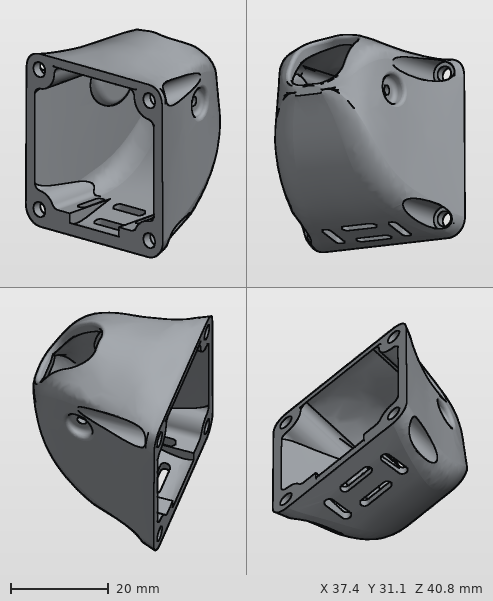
import cadquery as cq
import math

face_width = 37.4
face_height = 37.25
depth = 31.12

screw_x = 15.0
screw_z = (3.67, 33.77)
screw_dia = 3.2
head_groove_dia = 5.0
flange_thickness = 2.12
screw_boss_dia = 8.15
boss_blend_radius = 1.65

pivot_y = 18.15
pivot_z = 28.15
pivot_dia = 2.0
pivot_recess_dia = 6.0
pivot_recess_floor_x = 10.9
pivot_recess_bottom_round = 0.95
pivot_recess_lip_round = 0.78
pivot_boss_dia = 11.42
pivot_boss_face_x = 9.65
pivot_boss_round = 1.65

opening_front_y = 18.35
opening_front_z = 39.75
opening_back_y = 30.05
opening_back_z = 28.15
opening_width = 12.4
opening_corner = 4.9
opening_rim_round = 0.65
opening_cut_depth = 10.2

mouth_half_width = 16.28
mouth_top_z = 35.3

channel_floor_z = 2.65
pad_top_z = 4.7
channel_half_width = 6.7
slot_width = 2.0
cross_slot_length = 8.08
slot_center_y = 7.87
cross_slot_offset = 2.95
long_slot_x = 7.87
long_slot_length = 7.1
slot_cut_height = 6.75

outer_sections = [
    (0.0, face_width / 2, 0.15, 0.0, face_height - 0.05, face_height, 4.08, 4.08),
    (2.05, 18.03, 0.33, 0.15, 37.05, 37.5, 4.08, 4.08),
    (5.3, 17.0, 0.65, 0.65, 37.2, 39.0, 4.5, 4.08),
    (9.8, 15.65, 1.0, 1.7, 37.53, 39.95, 4.9, 4.08),
    (17.15, 13.62, 0.8, 4.25, 38.42, 40.75, 5.3, 4.08),
    (22.45, 12.3, 0.8, 8.53, 38.18, 39.97, 5.3, 4.5),
    (26.92, 10.45, 1.0, 15.62, 34.67, 36.1, 4.5, 3.67),
    (29.57, 7.35, 0.6, 22.45, 30.5, 31.55, 2.85, 2.45),
    (depth, 3.25, 0.2, 26.1, 27.55, 27.95, 0.6, 0.6),
]
cavity_sections = [
    (0.0, mouth_half_width, 0.05, channel_floor_z, mouth_top_z - 0.05, mouth_top_z, 1.65, 1.65),
    (5.45, 14.75, 0.65, channel_floor_z, 35.7, 36.7, 2.45, 2.85),
    (12.25, 13.0, 1.05, 4.65, 35.9, 38.15, 3.67, 3.25),
    (17.15, 11.9, 1.22, 6.53, 36.3, 38.75, 4.08, 3.25),
    (22.45, 10.6, 1.22, 10.8, 35.3, 37.53, 4.08, 3.25),
    (26.92, 8.35, 0.8, 18.75, 31.2, 32.65, 3.25, 2.45),
    (29.35, 4.9, 0.4, 24.9, 28.55, 28.95, 1.65, 1.65),
]

reach = 48.95
sides = (-1, 1)
lip_search = 1.65


def section_wire(y, half_width, lean, bottom, shoulder, crown, low_radius, high_radius):
    """Rounded section with leaning sides and a smooth crowned top."""
    top_half = half_width - lean
    side_top = shoulder - high_radius
    low_in = low_radius * (1 - math.sqrt(0.5))
    crown_half = top_half - high_radius
    crown_slope = 2 * (crown - shoulder) / crown_half
    right_points = [(top_half, side_top), (crown_half, shoulder)]
    left_points = [(-x, z) for x, z in reversed(right_points)]
    crown_points = right_points + [(0, crown)] + left_points
    right_tangents = [(0, 1), (-1, crown_slope)]
    left_tangents = [(x, -z) for x, z in reversed(right_tangents)]
    crown_tangents = right_tangents + [(-1, 0)] + left_tangents
    return (
        cq.Workplane("XZ", origin=(0, y, 0))
        .moveTo(low_radius - half_width, bottom)
        .lineTo(half_width - low_radius, bottom)
        .threePointArc((half_width - low_in, bottom + low_in), (half_width, bottom + low_radius))
        .lineTo(top_half, side_top)
        .spline(crown_points[1:], tangents=crown_tangents, includeCurrent=True)
        .lineTo(-half_width, bottom + low_radius)
        .threePointArc((low_in - half_width, bottom + low_in), (low_radius - half_width, bottom))
        .close()
        .wire()
        .val()
    )


def loft(sections):
    """Smooth solid through the sections."""
    return cq.Workplane(cq.Solid.makeLoft([section_wire(*section) for section in sections]))


def screw_cylinders(diameter, start_y):
    """Cylinders on the four screw axes, running back from start_y."""
    return (
        cq.Workplane("XZ", origin=(0, start_y, 0))
        .pushPoints([(side * screw_x, z) for side in sides for z in screw_z])
        .circle(diameter / 2)
        .extrude(-reach)
    )


def pivot_cylinder(side, diameter, inner_x, end_round):
    """Cylinder on the pivot axis with a rounded inner end, running outwards from inner_x."""
    cylinder = (
        cq.Workplane("YZ", origin=(side * inner_x, 0, 0))
        .center(pivot_y, pivot_z)
        .circle(diameter / 2)
        .extrude(side * reach)
    )
    inner_end = "<X" if side > 0 else ">X"
    return cylinder.faces(inner_end).edges().fillet(end_round)


def opening_cutter():
    """Rounded prism square to the sloping back."""
    run = opening_back_y - opening_front_y
    drop = opening_front_z - opening_back_z
    middle = (0, (opening_front_y + opening_back_y) / 2, (opening_front_z + opening_back_z) / 2)
    plane = cq.Plane(origin=middle, xDir=(1, 0, 0), normal=(0, drop, run))
    return (
        cq.Workplane(plane)
        .sketch()
        .rect(opening_width, math.hypot(run, drop))
        .vertices()
        .fillet(opening_corner)
        .finalize()
        .extrude(opening_cut_depth, both=True)
    )


def cut_opening(body):
    """Cut the opening and round the rim it leaves in the crown."""
    cut_body = body.cut(opening_cutter())
    faces_with_holes = [face for face in cut_body.faces().vals() if face.innerWires()]
    crown_face = max(faces_with_holes, key=lambda face: face.BoundingBox().zmax)
    rim = crown_face.innerWires()[0].Edges()
    return cut_body.newObject(rim).fillet(opening_rim_round)


def cut_pivot_recess(body, side):
    """Blind round recess in one side wall, with a rounded lip."""
    recess = pivot_cylinder(side, pivot_recess_dia, pivot_recess_floor_x, pivot_recess_bottom_round)
    cut_body = body.cut(recess)
    near_axis = cq.selectors.BoxSelector(
        (-reach, pivot_y - lip_search, pivot_z - lip_search),
        (reach, pivot_y + lip_search, pivot_z + lip_search),
    )
    rings = cut_body.edges(near_axis).vals()
    lip = max(rings, key=lambda edge: side * edge.Center().x)
    return cut_body.newObject([lip]).fillet(pivot_recess_lip_round)


def screw_bosses():
    """Columns left standing in the cavity corners, blended into its walls near the mouth."""
    columns = screw_cylinders(screw_boss_dia, 0)
    mouth = (
        cq.Workplane("XZ")
        .center(0, (mouth_top_z + pad_top_z) / 2)
        .rect(2 * mouth_half_width, mouth_top_z - pad_top_z)
        .extrude(-reach)
    )
    clear_mouth = mouth.cut(columns).edges("|Y").fillet(boss_blend_radius)
    return columns.union(mouth.cut(clear_mouth))


def floor_pad(side):
    """Material below the pad level on one side of the channel."""
    inner_x = side * channel_half_width
    block = cq.Workplane("XY").rect(reach, 2 * reach).extrude(pad_top_z)
    return block.translate((inner_x + side * reach / 2, 0, 0))


def make_cavity():
    """Hollow of the hood, leaving the screw bosses, floor pads and pivot bosses standing."""
    cavity = loft(cavity_sections).cut(screw_bosses())
    for side in sides:
        cavity = cavity.cut(floor_pad(side))
        cavity = cavity.cut(pivot_cylinder(side, pivot_boss_dia, pivot_boss_face_x, pivot_boss_round))
    return cavity


def strap_slots():
    """Two slots across the channel and one along each pad."""
    across = (
        cq.Workplane("XY")
        .pushPoints([(0, slot_center_y + side * cross_slot_offset) for side in sides])
        .slot2D(cross_slot_length, slot_width)
        .extrude(slot_cut_height)
    )
    along = (
        cq.Workplane("XY")
        .pushPoints([(side * long_slot_x, slot_center_y) for side in sides])
        .slot2D(long_slot_length, slot_width, 90)
        .extrude(slot_cut_height)
    )
    return across.union(along)


def pivot_hole():
    """Through hole across both side walls."""
    return cq.Workplane("YZ").center(pivot_y, pivot_z).circle(pivot_dia / 2).extrude(reach, both=True)


result = loft(outer_sections).cut(make_cavity())
result = cut_opening(result)
for side in sides:
    result = cut_pivot_recess(result, side)
result = result.cut(screw_cylinders(screw_dia, 0))
result = result.cut(screw_cylinders(head_groove_dia, flange_thickness))
result = result.cut(strap_slots())
result = result.cut(pivot_hole())